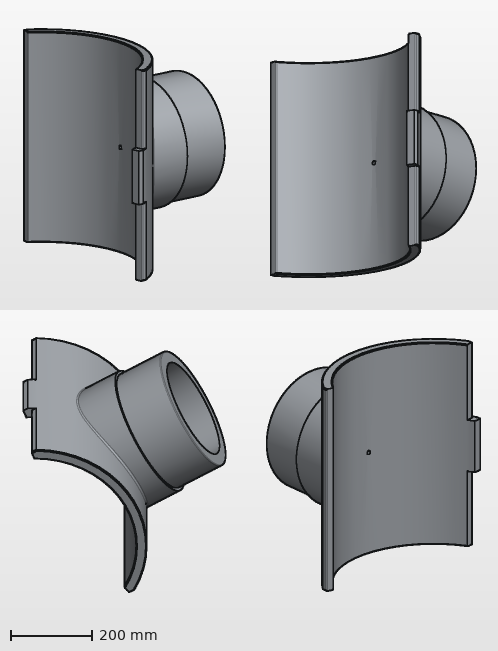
import cadquery as cq
import math

length = 540.0
inner_radius = 250.0
outer_radius = 276.5
shell_half_width = 235.0
shell_end_y = 128.5
rim_chamfer = 2.5
edge_round = 3.0

tab_reach = 245.0
tab_end_y = 110.5
tab_height = 137.0
tab_root_degrees = 35
tab_middle_degrees = 30

base_diameter = 330.5
spigot_diameter = 315.0
bore_diameter = 252.0
base_end_y = 330.5
spigot_end_y = 456.0
spigot_round = 2.0
junction_round = 5.0
pilot_diameter = 9.5

end_slope_degrees = 10
end_slope = math.tan(math.radians(end_slope_degrees))


def wall_points(half_width, end_y):
    """Inner corner, lower outer corner and upper outer corner of a +X wall end."""
    inner_x = math.sqrt(inner_radius**2 - end_y**2)
    flat_y = end_y + (half_width - inner_x) * end_slope
    upper_y = math.sqrt(outer_radius**2 - half_width**2)
    return (inner_x, end_y), (half_width, flat_y), (half_width, upper_y)


def mirrored(point):
    return (-point[0], point[1])


def make_shell():
    inner, lower, upper = wall_points(shell_half_width, shell_end_y)
    shell = (
        cq.Workplane("XY", origin=(0, 0, -length / 2))
        .moveTo(*inner)
        .lineTo(*lower)
        .lineTo(*upper)
        .threePointArc((0, outer_radius), mirrored(upper))
        .lineTo(*mirrored(lower))
        .lineTo(*mirrored(inner))
        .threePointArc((0, inner_radius), inner)
        .close()
        .extrude(length)
    )
    rims = shell.faces("|Z")
    shell = rims.edges("%CIRCLE or |Y").chamfer(rim_chamfer)
    for corner in (lower, mirrored(lower), mirrored(inner)):
        nearest_edge = cq.selectors.NearestToPointSelector((*corner, 0))
        shell = shell.edges("|Z").edges(nearest_edge).fillet(edge_round)
    return shell


def make_tab():
    inner, lower, upper = wall_points(tab_reach, tab_end_y)
    root_angle = math.radians(tab_root_degrees)
    middle_angle = math.radians(tab_middle_degrees)

    def on_wall(radius, angle):
        return (radius * math.cos(angle), radius * math.sin(angle))

    return (
        cq.Workplane("XY", origin=(0, 0, -tab_height / 2))
        .moveTo(*inner)
        .lineTo(*lower)
        .lineTo(*upper)
        .threePointArc(on_wall(outer_radius, middle_angle), on_wall(outer_radius, root_angle))
        .lineTo(*on_wall(inner_radius, root_angle))
        .threePointArc(on_wall(inner_radius, middle_angle), inner)
        .close()
        .extrude(tab_height)
    )


def cylinder_along_y(diameter, start_y, end_y):
    return (
        cq.Workplane("XZ", origin=(0, start_y, 0))
        .circle(diameter / 2)
        .extrude(start_y - end_y)
    )


def add_branch(shell):
    core_radius = (inner_radius + outer_radius) / 2
    pipe_core = cq.Workplane("XY").circle(core_radius).extrude(length / 2, both=True)
    base = cylinder_along_y(base_diameter, 0, base_end_y).cut(pipe_core)
    body = shell.union(base)
    box_reach = base_diameter / 2 + 5.5
    junction = cq.selectors.BoxSelector(
        (-box_reach, inner_radius / 2, -box_reach),
        (box_reach, outer_radius + 5.5, box_reach),
        boundingbox=True,
    )
    body = body.edges(junction).fillet(junction_round)
    spigot = cylinder_along_y(spigot_diameter, outer_radius, spigot_end_y)
    return body.union(spigot.faces(">Y").edges().fillet(spigot_round))


bore = cylinder_along_y(bore_diameter, outer_radius, spigot_end_y)
pilot = cylinder_along_y(pilot_diameter, 0, spigot_end_y)

result = add_branch(make_shell()).union(make_tab()).cut(bore).cut(pilot)